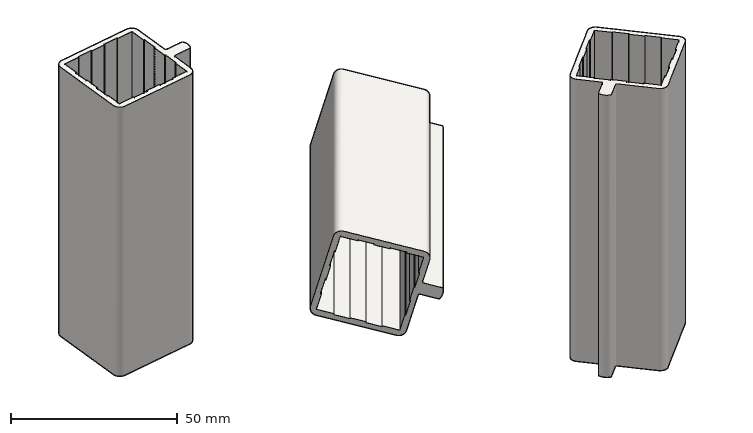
import cadquery as cq

length = 100.0
outer_side = 30.0
wall = 2.0
corner_radius = 2.5
bore_side = outer_side - 2 * wall

groove_width = 5.0
groove_depth = 0.3
groove_offset = 5.0

fin_width = 4.0
fin_center_x = 2.5
fin_height = 7.0
fin_crown = 0.6
fin_edge_radius = 0.5
fin_root_radius = 0.5


def make_tube():
    outside = cq.Workplane("XY").rect(outer_side, outer_side).extrude(length)
    outside = outside.edges("|Z").fillet(corner_radius)
    bore = cq.Workplane("XY").rect(bore_side, bore_side).extrude(length)
    return outside.cut(bore)


def make_grooves():
    """Strips through the bore that reach into both opposite walls."""
    reach = bore_side + 2 * groove_depth
    positions = [-groove_offset, groove_offset]
    across_x = cq.Workplane("XY").pushPoints([(0, y) for y in positions]).rect(reach, groove_width)
    across_y = cq.Workplane("XY").pushPoints([(x, 0) for x in positions]).rect(groove_width, reach)
    return across_x.extrude(length).union(across_y.extrude(length))


def make_fin():
    """Fin with a crowned tip whose two edges are rounded."""
    left = fin_center_x - fin_width / 2
    right = fin_center_x + fin_width / 2
    root_y = outer_side / 2 - wall / 2
    tip_y = outer_side / 2 + fin_height
    shoulder_y = tip_y - fin_crown
    fin = (
        cq.Workplane("XY")
        .moveTo(left, root_y)
        .lineTo(right, root_y)
        .lineTo(right, shoulder_y)
        .threePointArc((fin_center_x, tip_y), (left, shoulder_y))
        .close()
        .extrude(length)
    )
    tip_edges = cq.selectors.BoxSelector(
        (left - fin_crown, shoulder_y - fin_crown, 0),
        (right + fin_crown, tip_y, length),
    )
    return fin.edges("|Z").edges(tip_edges).fillet(fin_edge_radius)


def round_fin_root(body):
    """Blend the two corners where the fin meets the wall."""
    wall_y = outer_side / 2
    root_edges = cq.selectors.BoxSelector(
        (fin_center_x - fin_width, wall_y - fin_root_radius, 0),
        (fin_center_x + fin_width, wall_y + fin_root_radius, length),
    )
    return body.edges("|Z").edges(root_edges).fillet(fin_root_radius)


body = make_tube().cut(make_grooves()).union(make_fin())
result = round_fin_root(body)